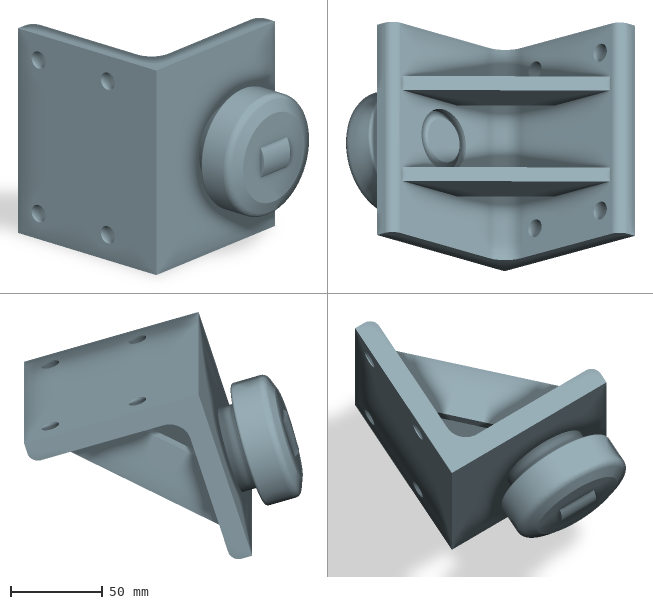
import cadquery as cq

leg_length = 100.0
bracket_height = 120.0
plate_thickness = 12.0
inner_corner_radius = plate_thickness
lip_radius = plate_thickness / 2

hole_diameter = 10.0
hole_edge_distance = 15.0
hole_pitch_x = 50.0
hole_pitch_z = bracket_height - 2 * hole_edge_distance

rib_thickness = 8.0
rib_spacing = 52.0
rib_tip_inset = 7.6
rib_leg_width = 42.4

axis_y = 60.0
shaft_diameter = 35.0
shaft_chamfer = 5.0
collar_diameter = 48.0
collar_length = 10.3
wheel_diameter = 70.0
wheel_width = 23.1
wheel_face_diameter = 51.7
wheel_taper_length = 3.7
wheel_back_radius = 1.5
wheel_rim_radius = 4.0
grip_length = 22.0
grip_width = 17.5
overall_length = 136.0

wheel_back_x = collar_length
wheel_face_x = wheel_back_x + wheel_width
grip_height = overall_length - leg_length - wheel_face_x


def make_l_section():
    """L-shaped plates with a rounded inner corner and rounded lips."""
    section = (
        cq.Workplane("XY")
        .moveTo(0, 0)
        .lineTo(0, leg_length)
        .lineTo(-plate_thickness, leg_length)
        .lineTo(-plate_thickness, plate_thickness)
        .lineTo(-leg_length, plate_thickness)
        .lineTo(-leg_length, 0)
        .close()
        .extrude(bracket_height / 2, both=True)
    )
    inner_corner = cq.NearestToPointSelector((-plate_thickness, plate_thickness, 0))
    section = section.edges(inner_corner).fillet(inner_corner_radius)
    for lip in [(-plate_thickness, leg_length, 0), (-leg_length, plate_thickness, 0)]:
        section = section.edges(cq.NearestToPointSelector(lip)).fillet(lip_radius)
    return section


def make_rib(center_z):
    """Diagonal brace between the inner faces of the two plates."""
    outer_reach = leg_length - rib_tip_inset
    inner_reach = outer_reach - rib_leg_width
    return (
        cq.Workplane("XY", origin=(0, 0, center_z - rib_thickness / 2))
        .moveTo(-outer_reach, plate_thickness)
        .lineTo(-plate_thickness, outer_reach)
        .lineTo(-plate_thickness, inner_reach)
        .lineTo(-inner_reach, plate_thickness)
        .close()
        .extrude(rib_thickness)
    )


def make_mounting_holes():
    first_x = -leg_length + hole_edge_distance
    return (
        cq.Workplane("XZ")
        .center(first_x + hole_pitch_x / 2, 0)
        .rarray(hole_pitch_x, hole_pitch_z, 2, 2)
        .circle(hole_diameter / 2)
        .extrude(-plate_thickness)
    )


def make_shaft():
    """Plain cylinder through the upright plate, ending flush with both of its faces."""
    return (
        cq.Workplane("YZ", origin=(-plate_thickness, axis_y, 0))
        .circle(shaft_diameter / 2)
        .extrude(plate_thickness)
    )


def make_bracket():
    bracket = make_l_section()
    for side in (-1, 1):
        bracket = bracket.union(make_rib(side * rib_spacing / 2))
    return bracket.cut(make_mounting_holes()).cut(make_shaft())


def make_wheel():
    """Disc with a rounded back edge and a tapered, rounded front rim."""
    wheel_radius = wheel_diameter / 2
    wheel = (
        cq.Workplane("XY", origin=(0, axis_y, 0))
        .moveTo(wheel_back_x, 0)
        .lineTo(wheel_back_x, wheel_radius)
        .lineTo(wheel_face_x - wheel_taper_length, wheel_radius)
        .lineTo(wheel_face_x, wheel_face_diameter / 2)
        .lineTo(wheel_face_x, 0)
        .close()
        .revolve(360, (0, 0, 0), (1, 0, 0))
    )
    rim_point = (wheel_face_x - wheel_taper_length, axis_y, 0)
    rim = cq.NearestToPointSelector(rim_point)
    wheel = wheel.edges("%CIRCLE").edges(rim).fillet(wheel_rim_radius)
    return wheel.faces("<X").edges().fillet(wheel_back_radius)


def make_grip():
    """Raised arched strip across the front face, running along Y."""
    return (
        cq.Workplane("XZ", origin=(0, axis_y, 0))
        .moveTo(wheel_face_x, -grip_width / 2)
        .threePointArc((wheel_face_x + grip_height, 0), (wheel_face_x, grip_width / 2))
        .close()
        .extrude(grip_length / 2, both=True)
    )


def make_knob():
    shaft = make_shaft().faces("<X").chamfer(shaft_chamfer)
    collar = (
        cq.Workplane("YZ", origin=(0, axis_y, 0))
        .circle(collar_diameter / 2)
        .extrude(collar_length)
    )
    return shaft.union(collar).union(make_wheel()).union(make_grip())


bracket = make_bracket()
knob = make_knob()
result = cq.Compound.makeCompound([bracket.val(), knob.val()])